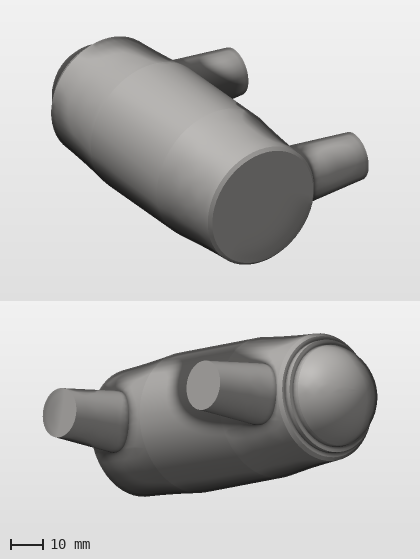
import cadquery as cq
import math

total_length = 102.9
body_start = 15.0
body_middle = (body_start + total_length) / 2

belly_radius = 44.0 / 2
belly_length = 36.2
shoulder_radius = 20.0
flare_middle_radius = 20.8
end_face_radius = 18.9
end_bevel_length = 1.0

collar_radius = 35.2 / 2
collar_start = 13.1
dome_base_radius = 32.0 / 2
dome_rim_radius = 15.7
dome_height = 11.3

post_spacing = 66.0
post_top = 64.0 - belly_radius
post_root = 12.3
post_top_radius = 7.7
post_taper = 0.081


def make_body():
    """Barrel with a straight belly, hollow-curved flares and bevelled ends."""
    belly_start = body_middle - belly_length / 2
    belly_end = body_middle + belly_length / 2
    shoulder_start = body_start + end_bevel_length
    shoulder_end = total_length - end_bevel_length
    first_flare_middle = ((shoulder_start + belly_start) / 2, flare_middle_radius)
    second_flare_middle = ((shoulder_end + belly_end) / 2, flare_middle_radius)
    return (
        cq.Workplane("XY")
        .moveTo(body_start, 0)
        .lineTo(body_start, end_face_radius)
        .lineTo(shoulder_start, shoulder_radius)
        .threePointArc(first_flare_middle, (belly_start, belly_radius))
        .lineTo(belly_end, belly_radius)
        .threePointArc(second_flare_middle, (shoulder_end, shoulder_radius))
        .lineTo(total_length, end_face_radius)
        .lineTo(total_length, 0)
        .close()
        .revolve(360, (0, 0, 0), (1, 0, 0))
    )


def make_dome():
    """Spherical cap on a short rim, seated on a round collar."""
    sphere_radius = (dome_height**2 + dome_rim_radius**2) / (2 * dome_height)
    half_angle = math.asin(dome_rim_radius / sphere_radius) / 2
    cap_middle = (
        sphere_radius * (1 - math.cos(half_angle)),
        sphere_radius * math.sin(half_angle),
    )
    return (
        cq.Workplane("XY")
        .moveTo(0, 0)
        .threePointArc(cap_middle, (dome_height, dome_rim_radius))
        .lineTo(collar_start, dome_base_radius)
        .lineTo(collar_start, collar_radius)
        .lineTo(body_start, collar_radius)
        .lineTo(body_start, 0)
        .close()
        .revolve(360, (0, 0, 0), (1, 0, 0))
    )


def make_post(x):
    """Tapered round post at the given place along the body."""
    length = post_top - post_root
    root_radius = post_top_radius + post_taper * length
    cone = cq.Solid.makeCone(
        root_radius, post_top_radius, length, cq.Vector(x, post_root, 0), cq.Vector(0, 1, 0)
    )
    return cq.Workplane(obj=cone)


result = make_body().union(make_dome())
for side in (-1, 1):
    result = result.union(make_post(body_middle + side * post_spacing / 2))